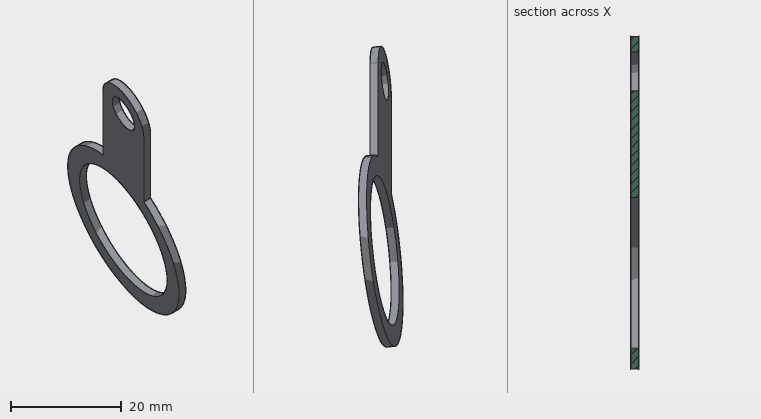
import cadquery as cq

total_height = 60.2
thickness = 1.5
ring_outer_diameter = 34.8
ring_inner_diameter = 27.3
tab_width = 12.75
tab_hole_diameter = 6.9

tab_end_radius = tab_width / 2
tab_end_height = total_height - ring_outer_diameter / 2 - tab_end_radius


def disc(diameter, height):
    """Flat disc centred in Y, with its axis at the given height."""
    return (
        cq.Workplane("XZ", origin=(0, thickness / 2, 0))
        .center(0, height)
        .circle(diameter / 2)
        .extrude(thickness)
    )


def straight_tab():
    """Strip from the ring centre up to the centre of the rounded end."""
    strip = cq.Workplane("XY").box(tab_width, thickness, tab_end_height)
    return strip.translate((0, 0, tab_end_height / 2))


blank = disc(ring_outer_diameter, 0).union(straight_tab()).union(disc(tab_width, tab_end_height))

result = blank.cut(disc(ring_inner_diameter, 0)).cut(disc(tab_hole_diameter, tab_end_height))